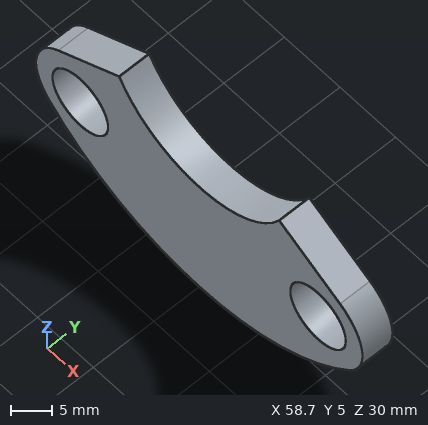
import cadquery as cq
import math

length = 58.7
height = 30.0
thickness = 5.0
hole_diameter = 10.0
lug_radius = 8.0
inner_radius = 16.55
hole_angle = 45.0

hole_x = length / 2 - lug_radius
hole_circle_radius = hole_x / math.cos(math.radians(hole_angle))
hole_z = -hole_circle_radius * math.sin(math.radians(hole_angle))
outer_radius = hole_circle_radius + lug_radius
outer_end_x = outer_radius * math.cos(math.radians(hole_angle))
outer_end_z = -outer_radius * math.sin(math.radians(hole_angle))

corner_z = height - outer_radius
corner_x = math.sqrt(inner_radius**2 - corner_z**2)

corner_distance = math.hypot(corner_x - hole_x, corner_z - hole_z)
corner_direction = math.atan2(corner_z - hole_z, corner_x - hole_x)
tangent_direction = corner_direction - math.acos(lug_radius / corner_distance)
tangent_x = hole_x + lug_radius * math.cos(tangent_direction)
tangent_z = hole_z + lug_radius * math.sin(tangent_direction)

mid_plane_offset = -thickness / 2
plate = (
    cq.Workplane("XZ")
    .workplane(offset=mid_plane_offset)
    .moveTo(-corner_x, corner_z)
    .threePointArc((0, -inner_radius), (corner_x, corner_z))
    .lineTo(tangent_x, tangent_z)
    .threePointArc((length / 2, hole_z), (outer_end_x, outer_end_z))
    .threePointArc((0, -outer_radius), (-outer_end_x, outer_end_z))
    .threePointArc((-length / 2, hole_z), (-tangent_x, tangent_z))
    .close()
    .extrude(thickness)
)

holes = (
    cq.Workplane("XZ")
    .workplane(offset=mid_plane_offset)
    .pushPoints([(-hole_x, hole_z), (hole_x, hole_z)])
    .circle(hole_diameter / 2)
    .extrude(thickness)
)

result = plate.cut(holes)